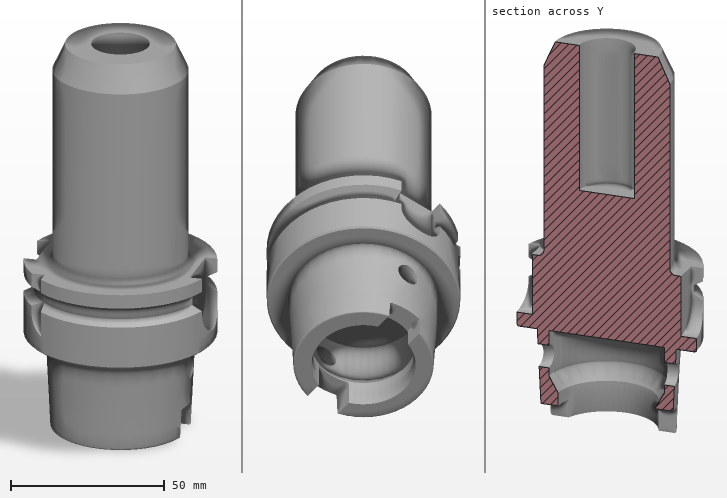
import cadquery as cq
import math

total_length = 133.6
shank_length = 32
flange_top = 58.0
nose_length = 9.0

shank_top_radius = 24.5
shank_taper = 0.05
shank_edge = 0.7
shank_end_radius = shank_top_radius - shank_taper * shank_length

mouth_radius = 17.0
mouth_length = 10.7
chamber_radius = 20.2
flare_slope = math.radians(30)
flare_length = (chamber_radius - mouth_radius) / math.tan(flare_slope)

flange_radius = 31.5
flange_edge = 0.5
groove_centre = 50.0
groove_mouth = 6.7
groove_depth = 3.1
groove_slope = math.radians(30)
groove_floor = groove_mouth - 2 * groove_depth * math.tan(groove_slope)
groove_radius = flange_radius - groove_depth

body_radius = 22.2
nose_radius = 18.0
root_fillet = 2.0
bore_diameter = 19.1
bore_depth = 50.8

keyway_floor_x = 26.2
keyway_bottom = 37.0
left_keyway_width = 15.8
right_keyway_width = 18.2

notch_wall = 19.9
notch_arc_start = 44.9
notch_arc_radius = 7.1

cross_hole_diameter = 7.7
cross_hole_height = 23.0
drive_slot_width = 12.4
left_slot_depth = 6.1
right_slot_depth = 10.2
slot_corner = 0.7


def turned_body():
    """Solid of revolution: shank, grooved flange, body and nose."""
    return (
        cq.Workplane("XZ")
        .lineTo(shank_end_radius, 0)
        .lineTo(shank_top_radius, shank_length)
        .lineTo(flange_radius - flange_edge, shank_length)
        .lineTo(flange_radius, shank_length + flange_edge)
        .lineTo(flange_radius, groove_centre - groove_mouth / 2)
        .lineTo(groove_radius, groove_centre - groove_floor / 2)
        .lineTo(groove_radius, groove_centre + groove_floor / 2)
        .lineTo(flange_radius, groove_centre + groove_mouth / 2)
        .lineTo(flange_radius, flange_top)
        .lineTo(body_radius + root_fillet, flange_top)
        .radiusArc((body_radius, flange_top + root_fillet), root_fillet)
        .lineTo(body_radius, total_length - nose_length)
        .lineTo(nose_radius, total_length)
        .lineTo(0, total_length)
        .close()
        .revolve(360, (0, 0, 0), (0, 1, 0))
        .faces("<Z")
        .edges()
        .fillet(shank_edge)
    )


def keyway(width, side):
    """Cutter for a keyway open at the flange top; side is -1 or +1 along X."""
    radius = width / 2
    arc_centre = keyway_bottom + radius
    return (
        cq.Workplane("YZ", origin=(side * keyway_floor_x, 0, 0))
        .moveTo(-radius, flange_top)
        .lineTo(-radius, arc_centre)
        .threePointArc((0, keyway_bottom), (radius, arc_centre))
        .lineTo(radius, flange_top)
        .close()
        .extrude(side * flange_radius)
    )


def orientation_notch():
    """Cutter with a wall facing -Y that runs out through an arc, ended by a wall facing -X."""
    arc_end = -notch_wall - notch_arc_radius
    return (
        cq.Workplane("YZ", origin=(-notch_wall, 0, 0))
        .moveTo(-notch_wall, flange_top)
        .lineTo(-notch_wall, notch_arc_start)
        .radiusArc((arc_end, notch_arc_start - notch_arc_radius), notch_arc_radius)
        .lineTo(-flange_radius, notch_arc_start - notch_arc_radius)
        .lineTo(-flange_radius, flange_top)
        .close()
        .extrude(-flange_radius)
    )


def drive_slot(depth, side):
    """Cutter for a slot in the shank end, from the axis outward; side is -1 or +1 along X."""
    return (
        cq.Workplane("XY")
        .box(flange_radius, drive_slot_width, depth, centered=(True, True, False))
        .edges("|X and >Z")
        .fillet(slot_corner)
        .translate((side * flange_radius / 2, 0, 0))
    )


tool_bore = (
    cq.Workplane("XY", origin=(0, 0, total_length - bore_depth))
    .circle(bore_diameter / 2)
    .extrude(bore_depth)
)

shank_cavity = (
    cq.Workplane("XZ")
    .lineTo(mouth_radius, 0)
    .lineTo(mouth_radius, mouth_length)
    .lineTo(chamber_radius, mouth_length + flare_length)
    .lineTo(chamber_radius, shank_length)
    .lineTo(0, shank_length)
    .close()
    .revolve(360, (0, 0, 0), (0, 1, 0))
)

cross_hole = (
    cq.Workplane("YZ", origin=(0, 0, cross_hole_height))
    .circle(cross_hole_diameter / 2)
    .extrude(flange_radius, both=True)
)

result = (
    turned_body()
    .cut(tool_bore)
    .cut(keyway(left_keyway_width, -1))
    .cut(keyway(right_keyway_width, 1))
    .cut(orientation_notch())
    .cut(shank_cavity)
    .cut(cross_hole)
    .cut(drive_slot(left_slot_depth, -1))
    .cut(drive_slot(right_slot_depth, 1))
)